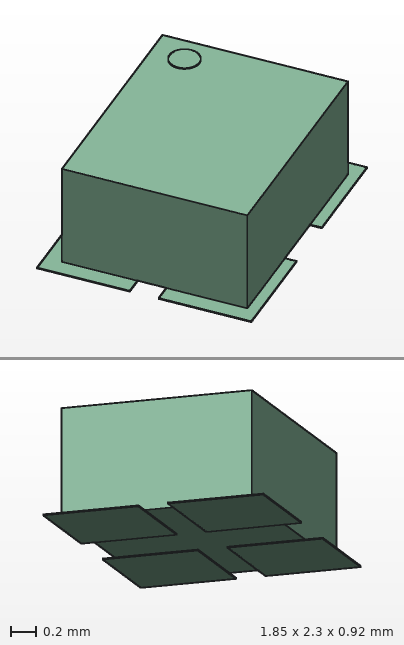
import cadquery as cq

overall_x = 1.85
overall_y = 2.3
overall_z = 0.92

pad_x = 0.8
pad_y = 0.9
pad_thickness = 0.01

body_x = 1.6
body_y = 2.0
body_shift_x = 0.025

marker_diameter = 0.26
marker_height = 0.01
marker_x = -0.48
marker_y = 0.76

body_height = overall_z - pad_thickness - marker_height
body_top = pad_thickness + body_height


def make_body():
    """Plain block resting on the pads, slightly off-centre in X."""
    return (
        cq.Workplane("XY")
        .workplane(offset=pad_thickness)
        .center(body_shift_x, 0)
        .rect(body_x, body_y)
        .extrude(body_height)
    )


def make_pads():
    """Four thin pads, flush with the corners of the envelope."""
    return (
        cq.Workplane("XY")
        .rarray(overall_x - pad_x, overall_y - pad_y, 2, 2)
        .rect(pad_x, pad_y)
        .extrude(pad_thickness)
    )


def make_marker():
    """Thin raised disc near one corner of the body."""
    return (
        cq.Workplane("XY")
        .workplane(offset=body_top)
        .center(marker_x, marker_y)
        .circle(marker_diameter / 2)
        .extrude(marker_height)
    )


result = make_body().union(make_pads()).union(make_marker())